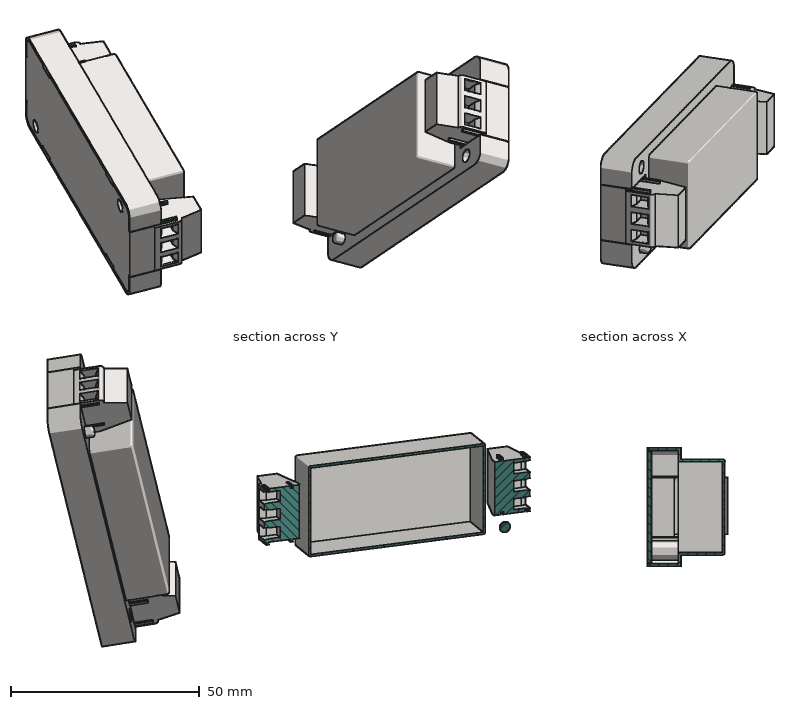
import cadquery as cq
import math

LENGTH = 76.0
HEIGHT = 31.5
CASE_DEPTH = 8.9
CORNER_RADIUS = 3.05
WALL = 0.75

BOX_LENGTH = 50.6
BOX_HEIGHT = 25.5
BOX_TOP = 20.6
BOX_FILLET = 0.75

BASE_THICKNESS = 1.1
BASE_GAP = 0.15
CLIP_X = 23.1
CLIP_WIDTH = 5.25
CLIP_REACH = 0.8
END_TAB_TOP = 7.15

HOLE_X = 30.85
HOLE_Z = 11.5
HOLE_RADIUS = 1.75
BOSS_RADIUS = 2.6
BUTTON_RADIUS = 1.5
BUTTON_TOP = 11.25
BUTTON_FILLET = 0.7

TERMINAL_TOP = 21.2
TERMINAL_WIDTH = 10.2
TERMINAL_HALF_HEIGHT = 7.9
TOP_FLAT_START = 2.3
TOP_FLAT_END = 8.0
INNER_SHOULDER_Y = 12.2
OUTER_SHOULDER_Y = 15.1
OUTER_SHOULDER_RADIUS = 1.1
RIB_OFFSETS = (1.15, 8.0)
RIB_WIDTH = 0.7
RIB_HEIGHT = 0.7
RIB_TOP = 13.75

ENTRY_COUNT = 3
ENTRY_PITCH = 5.0
ENTRY_HEIGHT = 3.35
ENTRY_BOTTOM = 8.75
ENTRY_TOP = 13.75
ENTRY_SIDE_TAPER = 0.2
ENTRY_THROAT_BOTTOM = 9.65
ENTRY_THROAT_TOP = 12.85
ENTRY_MOUTH_DEPTH = 1.6
ENTRY_DEPTH = 4.55

OUTER_X = LENGTH / 2
INNER_X = OUTER_X - WALL
INNER_Z = HEIGHT / 2 - WALL
ROOF_UNDERSIDE = CASE_DEPTH - WALL
CLIP_TIP_Z = INNER_Z - CLIP_REACH
WINDOW_HALF_HEIGHT = TERMINAL_HALF_HEIGHT + BASE_GAP
TERMINAL_BOTTOM = END_TAB_TOP
TERMINAL_BODY_MIN_Z = RIB_HEIGHT - TERMINAL_HALF_HEIGHT


def block(x_range, y_range, z_range):
    """Box between the given limits on each axis."""
    ranges = (x_range, y_range, z_range)
    sizes = [high - low for low, high in ranges]
    corner = tuple(low for low, high in ranges)
    return cq.Workplane("XY").box(*sizes, centered=False).translate(corner)


def centered_block(length, height, y_low, y_high):
    """Box centred on the Y axis."""
    return block((-length / 2, length / 2), (y_low, y_high), (-height / 2, height / 2))


def cylinder(x, z, radius, y_low, y_high):
    """Round bar along Y."""
    start = cq.Vector(x, y_low, z)
    direction = cq.Vector(0, 1, 0)
    return cq.Workplane(cq.Solid.makeCylinder(radius, y_high - y_low, start, direction))


def at_hole_places(radius, y_low, y_high):
    """Round bars on both mounting hole axes."""
    lower = cylinder(-HOLE_X, -HOLE_Z, radius, y_low, y_high)
    upper = cylinder(HOLE_X, HOLE_Z, radius, y_low, y_high)
    return lower.add(upper).combine()


def clips():
    """Four clip tabs standing inward from the long case walls."""
    tabs = cq.Workplane("XY")
    for x in (-CLIP_X, CLIP_X):
        x_range = (x - CLIP_WIDTH / 2, x + CLIP_WIDTH / 2)
        tabs = tabs.add(block(x_range, (0, BASE_THICKNESS), (CLIP_TIP_Z, INNER_Z)))
        tabs = tabs.add(block(x_range, (0, BASE_THICKNESS), (-INNER_Z, -CLIP_TIP_Z)))
    return tabs.combine()


def make_case():
    """Hollow case with the raised box, clips, drilled bosses and openings for the other bodies."""
    case = centered_block(LENGTH, HEIGHT, 0, CASE_DEPTH).edges("|Y").fillet(CORNER_RADIUS)
    raised_box = centered_block(BOX_LENGTH, BOX_HEIGHT, ROOF_UNDERSIDE, BOX_TOP)
    raised_box = raised_box.edges("|Y or >Y").fillet(BOX_FILLET)
    case = case.union(raised_box)

    cavity = centered_block(2 * INNER_X, 2 * INNER_Z, 0, ROOF_UNDERSIDE)
    cavity = cavity.edges("|Y").fillet(CORNER_RADIUS - WALL)
    box_cavity = centered_block(BOX_LENGTH - 2 * WALL, BOX_HEIGHT - 2 * WALL, 0, BOX_TOP - WALL)
    case = case.cut(cavity).cut(box_cavity).union(clips())
    case = case.union(at_hole_places(BOSS_RADIUS, BASE_THICKNESS, ROOF_UNDERSIDE))

    window_z = (-WINDOW_HALF_HEIGHT, WINDOW_HALF_HEIGHT)
    window_inner_x = OUTER_X - TERMINAL_WIDTH
    for x_range in ((-OUTER_X, -window_inner_x), (window_inner_x, OUTER_X)):
        case = case.cut(block(x_range, (0, CASE_DEPTH), window_z))

    button_hole = cylinder(HOLE_X, -HOLE_Z, BUTTON_RADIUS, ROOF_UNDERSIDE, CASE_DEPTH)
    return case.cut(at_hole_places(HOLE_RADIUS, 0, CASE_DEPTH)).cut(button_hole)


def make_base():
    """Base plate with clip notches, screw holes and end tabs under the terminals."""
    plate = centered_block(2 * INNER_X, 2 * (INNER_Z - BASE_GAP), 0, BASE_THICKNESS)
    base = plate.edges("|Y").fillet(CORNER_RADIUS - WALL).cut(clips())
    tab_z = (-TERMINAL_HALF_HEIGHT, TERMINAL_HALF_HEIGHT)
    tab_root_x = INNER_X - WALL
    for x_range in ((-OUTER_X, -tab_root_x), (tab_root_x, OUTER_X)):
        base = base.union(block(x_range, (0, END_TAB_TOP), tab_z))
    return base.cut(at_hole_places(HOLE_RADIUS, 0, BASE_THICKNESS))


def make_button():
    """Round push button standing in the case roof."""
    button = cylinder(HOLE_X, -HOLE_Z, BUTTON_RADIUS, ROOF_UNDERSIDE, BUTTON_TOP)
    return button.faces(">Y").edges().fillet(BUTTON_FILLET)


def wire_entry(z):
    """Cutting shape of one wire entry, opening on the -X end face."""
    throat_height = ENTRY_HEIGHT - 2 * ENTRY_SIDE_TAPER
    throat_width = ENTRY_THROAT_TOP - ENTRY_THROAT_BOTTOM
    throat_y = (ENTRY_THROAT_TOP + ENTRY_THROAT_BOTTOM) / 2
    mouth_y = (ENTRY_TOP + ENTRY_BOTTOM) / 2
    mouth = (
        cq.Workplane("YZ", origin=(-OUTER_X, mouth_y, z))
        .rect(ENTRY_TOP - ENTRY_BOTTOM, ENTRY_HEIGHT)
        .workplane(offset=ENTRY_MOUTH_DEPTH)
        .center(throat_y - mouth_y, 0)
        .rect(throat_width, throat_height)
        .loft(ruled=True)
    )
    throat = block(
        (-OUTER_X + ENTRY_MOUTH_DEPTH, -OUTER_X + ENTRY_DEPTH),
        (ENTRY_THROAT_BOTTOM, ENTRY_THROAT_TOP),
        (z - throat_height / 2, z + throat_height / 2),
    )
    return mouth.union(throat)


def terminal_ribs(z_low):
    """Pair of joining ribs; the same shape also cuts the mating slots."""
    ribs = cq.Workplane("XY")
    for offset in RIB_OFFSETS:
        x = -OUTER_X + offset
        x_range = (x - RIB_WIDTH / 2, x + RIB_WIDTH / 2)
        ribs = ribs.add(block(x_range, (TERMINAL_BOTTOM, RIB_TOP), (z_low, z_low + RIB_HEIGHT)))
    return ribs.combine()


def make_terminal(turn):
    """Terminal block of the -X end, turned about the Y axis by the given angle."""
    shoulder_x = -OUTER_X + OUTER_SHOULDER_RADIUS
    inner_x = -OUTER_X + TERMINAL_WIDTH
    arc_center_y = OUTER_SHOULDER_Y - OUTER_SHOULDER_RADIUS
    arc_mid_shift = OUTER_SHOULDER_RADIUS * math.sqrt(0.5)
    body = (
        cq.Workplane("XY", origin=(0, 0, TERMINAL_BODY_MIN_Z))
        .moveTo(-OUTER_X, TERMINAL_BOTTOM)
        .lineTo(inner_x, TERMINAL_BOTTOM)
        .lineTo(inner_x, INNER_SHOULDER_Y)
        .lineTo(-OUTER_X + TOP_FLAT_END, TERMINAL_TOP)
        .lineTo(-OUTER_X + TOP_FLAT_START, TERMINAL_TOP)
        .lineTo(shoulder_x, OUTER_SHOULDER_Y)
        .threePointArc((shoulder_x - arc_mid_shift, arc_center_y + arc_mid_shift), (-OUTER_X, arc_center_y))
        .close()
        .extrude(TERMINAL_HALF_HEIGHT - TERMINAL_BODY_MIN_Z)
    )
    terminal = body.union(terminal_ribs(-TERMINAL_HALF_HEIGHT))
    terminal = terminal.cut(terminal_ribs(TERMINAL_HALF_HEIGHT - RIB_HEIGHT))
    middle_z = (TERMINAL_HALF_HEIGHT + TERMINAL_BODY_MIN_Z) / 2
    for index in range(ENTRY_COUNT):
        z = middle_z + (index - (ENTRY_COUNT - 1) / 2) * ENTRY_PITCH
        terminal = terminal.cut(wire_entry(z))
    return terminal.rotate((0, 0, 0), (0, 1, 0), turn)


case = make_case()
base = make_base()
button = make_button()
terminals = [make_terminal(turn) for turn in (0, 180)]

bodies = [case, base, button, *terminals]
result = cq.Compound.makeCompound([body.solids().val() for body in bodies])